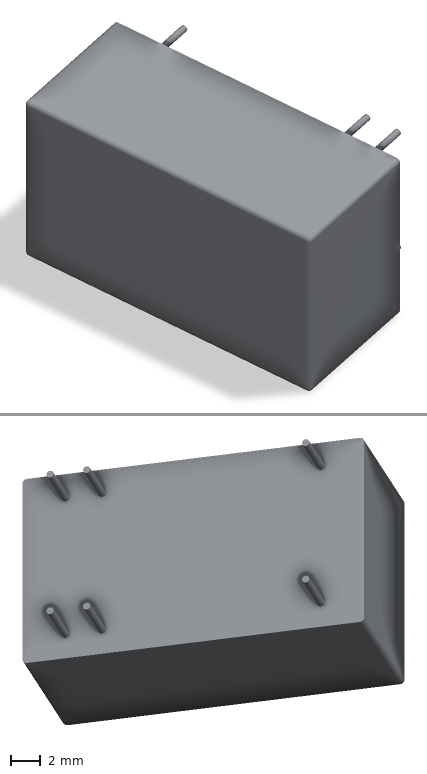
import cadquery as cq

width = 23.8
height = 13.7
total_depth = 14.0
edge_radius = 0.3

plate_thickness = 0.5
pin_length = 3.8
pin_diameter = 0.5
pin_pitch = 2.55
pin_row_spacing = 10.16
outer_pin_x = 8.9

block_depth = total_depth - pin_length
case_depth = block_depth - plate_thickness
pin_columns = [-outer_pin_x, outer_pin_x - pin_pitch, outer_pin_x]
pin_rows = [-pin_row_spacing / 2, pin_row_spacing / 2]


def make_block(depth, front_y):
    """Box from front_y toward +Y, with its four Y-direction edges rounded."""
    box = cq.Workplane("XY").box(width, depth, height, centered=(True, False, True))
    return box.edges("|Y").fillet(edge_radius).translate((0, front_y, 0))


def make_case():
    """Case with all the edges of its front face rounded."""
    return make_block(case_depth, 0).faces("<Y").edges().fillet(edge_radius)


def make_pin(x, z):
    """Round pin standing on the back face of the base plate."""
    pin = cq.Workplane("XZ").circle(pin_diameter / 2).extrude(-pin_length)
    return pin.translate((x, block_depth, z))


def make_base():
    """Base plate and pins in one piece."""
    base = make_block(plate_thickness, case_depth)
    for x in pin_columns:
        for z in pin_rows:
            base = base.union(make_pin(x, z))
    return base


case = make_case()
base = make_base()

result = cq.Compound.makeCompound([case.val(), *base.vals()])